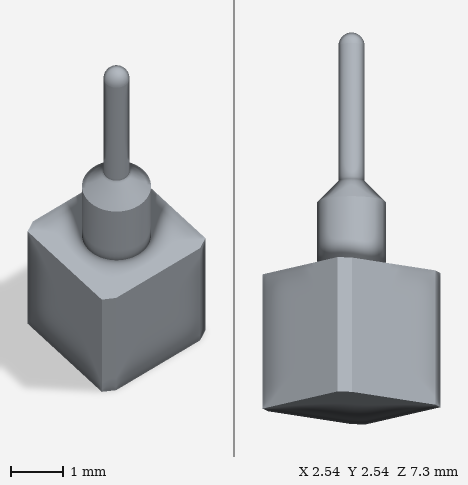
import cadquery as cq

total_height = 7.3

body_width = 2.54
body_height = 2.61
corner_cut_x = 0.14
corner_cut_y = 0.24

barrel_diameter = 1.32
barrel_height = 1.38
shoulder_height = 0.42
pin_radius = 0.25

barrel_radius = barrel_diameter / 2
barrel_top = body_height + barrel_height
shoulder_top = barrel_top + shoulder_height
dome_base = total_height - pin_radius


def make_body():
    """Square block with its four vertical edges cut by unequal chamfers."""
    half = body_width / 2
    inner_x = half - corner_cut_x
    inner_y = half - corner_cut_y
    outline = [
        (inner_x, -half),
        (half, -inner_y),
        (half, inner_y),
        (inner_x, half),
        (-inner_x, half),
        (-half, inner_y),
        (-half, -inner_y),
        (-inner_x, -half),
    ]
    return cq.Workplane("XY").polyline(outline).close().extrude(body_height)


def make_pin():
    """Barrel, conical shoulder and round-tipped pin, revolved about Z."""
    dome_mid = pin_radius / 2**0.5
    profile = (
        cq.Workplane("XZ")
        .moveTo(0, 0)
        .lineTo(barrel_radius, 0)
        .lineTo(barrel_radius, barrel_top)
        .lineTo(pin_radius, shoulder_top)
        .lineTo(pin_radius, dome_base)
        .threePointArc((dome_mid, dome_base + dome_mid), (0, total_height))
        .close()
    )
    return profile.revolve(360, (0, 0, 0), (0, 1, 0))


result = make_body().union(make_pin())